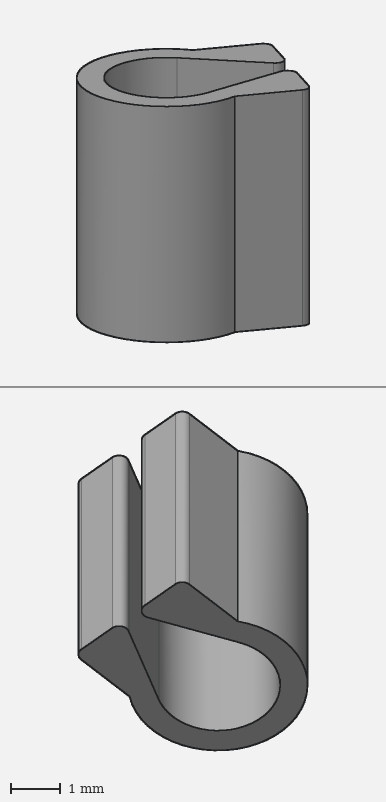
import cadquery as cq
import math

length = 5.0
outer_radius = 1.8
bore_radius = 1.25
arm_half_width = 1.5
arm_top = 2.6
gap_half_width = 0.25
lip_radius = 0.2

shoulder_y = math.sqrt(outer_radius**2 - arm_half_width**2)

lip_x = gap_half_width + lip_radius
corner_x = arm_half_width - lip_radius
round_y = arm_top - lip_radius

lip_distance = math.hypot(lip_x, round_y)
normal_angle = math.atan2(round_y, lip_x) - math.acos((bore_radius + lip_radius) / lip_distance)


def point_on_arc(center_x, center_y, radius, angle):
    return (center_x + radius * math.cos(angle), center_y + radius * math.sin(angle))


def mirrored(point):
    return (-point[0], point[1])


bore_tangent = point_on_arc(0, 0, bore_radius, normal_angle)
lip_tangent = point_on_arc(lip_x, round_y, lip_radius, normal_angle + math.pi)
lip_middle = point_on_arc(lip_x, round_y, lip_radius, (normal_angle + math.pi + math.pi / 2) / 2)
lip_end = (lip_x, arm_top)
corner_start = (corner_x, arm_top)
corner_middle = point_on_arc(corner_x, round_y, lip_radius, math.pi / 4)
corner_end = (arm_half_width, round_y)
shoulder = (arm_half_width, shoulder_y)

section = (
    cq.Workplane("XY")
    .moveTo(*bore_tangent)
    .lineTo(*lip_tangent)
    .threePointArc(lip_middle, lip_end)
    .lineTo(*corner_start)
    .threePointArc(corner_middle, corner_end)
    .lineTo(*shoulder)
    .threePointArc((0, -outer_radius), mirrored(shoulder))
    .lineTo(*mirrored(corner_end))
    .threePointArc(mirrored(corner_middle), mirrored(corner_start))
    .lineTo(*mirrored(lip_end))
    .threePointArc(mirrored(lip_middle), mirrored(lip_tangent))
    .lineTo(*mirrored(bore_tangent))
    .threePointArc((0, -bore_radius), bore_tangent)
    .close()
)

result = section.extrude(length)